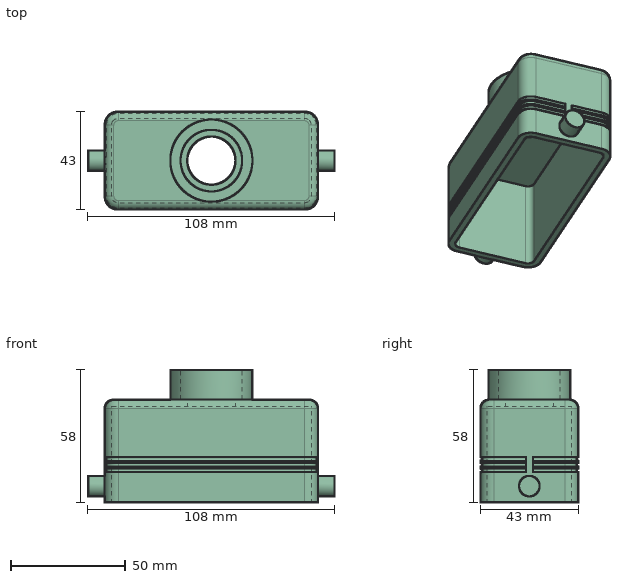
import cadquery as cq

body_length = 93.5
body_width = 43.0
body_height = 45.0
corner_radius = 6.0
top_edge_radius = 4.0
wall = 3.0

total_height = 58.0
collar_diameter = 36.0
counterbore_diameter = 27.0
entry_diameter = 21.0

overall_length = 108.0
pin_diameter = 9.0
pin_center_height = 7.1

groove_radius = 0.8
groove_pitch = 2.5
groove_count = 3
lowest_groove_height = 14.0
groove_gap = 3.0


def rounded_block(length, width, height, radius):
    """Block standing on Z = 0 with rounded vertical edges."""
    block = cq.Workplane("XY").box(length, width, height, centered=(True, True, False))
    return block.edges("|Z").fillet(radius)


def make_shell():
    outside = rounded_block(body_length, body_width, body_height, corner_radius)
    return outside.faces(">Z").edges().fillet(top_edge_radius)


def make_cavity():
    return rounded_block(
        body_length - 2 * wall,
        body_width - 2 * wall,
        body_height - wall,
        corner_radius - wall,
    )


def make_collar():
    roof_underside = body_height - wall
    return (
        cq.Workplane("XY")
        .workplane(offset=roof_underside)
        .circle(collar_diameter / 2)
        .extrude(total_height - roof_underside)
    )


def make_entry_bore():
    through_hole = cq.Workplane("XY").circle(entry_diameter / 2).extrude(total_height)
    counterbore = (
        cq.Workplane("XY")
        .workplane(offset=body_height)
        .circle(counterbore_diameter / 2)
        .extrude(total_height - body_height)
    )
    return through_hole.union(counterbore)


def make_pin(side):
    """Pin on the end face at +X (side = 1) or -X (side = -1), rooted inside the wall."""
    root = body_length / 2 - wall
    return (
        cq.Workplane("YZ", origin=(side * root, 0, pin_center_height))
        .circle(pin_diameter / 2)
        .extrude(side * (overall_length / 2 - root))
    )


def make_groove(height):
    """Round bar running around the body outline, with a gap in the middle of each end face."""
    outline = rounded_block(body_length, body_width, height, corner_radius).faces(">Z").wires().val()
    path_start = outline.startPoint()
    profile_plane = cq.Plane(origin=path_start.toTuple(), normal=outline.tangentAt(0).toTuple())
    ring = cq.Workplane(profile_plane).circle(groove_radius).sweep(cq.Workplane(outline))
    gap = cq.Workplane("XY").box(overall_length, groove_gap, 2 * body_height)
    return ring.cut(gap)


result = make_shell().union(make_collar())
for side in (-1, 1):
    result = result.union(make_pin(side))
for index in range(groove_count):
    result = result.cut(make_groove(lowest_groove_height + index * groove_pitch))
result = result.cut(make_cavity()).cut(make_entry_bore())